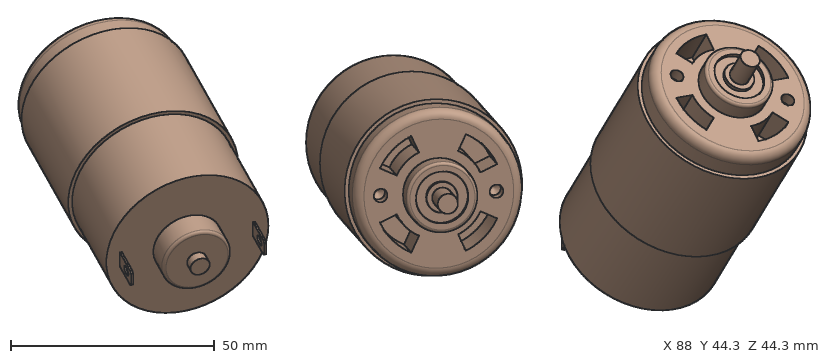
import cadquery as cq
import math


shaft_length = 88.0
shaft_diameter = 5.0
shaft_radius = shaft_diameter / 2
shaft_front = -shaft_length / 2

shaft_to_can = 12.8
can_front = shaft_front + shaft_to_can
can_length = 66.0
can_rear = can_front + can_length
can_radius = 21.1
can_front_fillet = 2.5

can_to_ring = 7.1
ring_front = can_front + can_to_ring
ring_length = 34.0
ring_diameter = 44.3
ring_radius = ring_diameter / 2

boss_radius = 8.9
boss_fillet = 0.8
front_boss_length = 5.0
rear_boss_length = 6.8
boss_front = can_front - front_boss_length

recess_radius = 6.5
recess_depth = 1.0
bushing_radius = 3.9

vent_inner_radius = 11.5
vent_outer_radius = 16.1
vent_span = 40.0
vent_centre_angles = (45, 135, 225, 315)
vent_depth = 10.0

mount_radius = 1.7
mount_offset = 14.4
mount_depth = 3.5
drill_point_angle = 118.0

tab_length = 8.2
tab_width = 4.5
tab_thickness = 0.5
tab_offset = 17.3
tab_corner_chamfer = 0.5
tab_slot_distance = 4.7
tab_slot_length = 3.0
tab_slot_width = 1.85


def disc(start, length, radius):
    """Cylinder on the motor axis that begins at X = start and runs toward +X."""
    return cq.Workplane("YZ", origin=(start, 0, 0)).circle(radius).extrude(length)


def vent(centre_angle):
    """Cutter for one ring-sector window, centred on the given angle."""
    half_span = vent_span / 2

    def point(radius, turn):
        angle = math.radians(centre_angle + turn)
        return radius * math.cos(angle), radius * math.sin(angle)

    return (
        cq.Workplane("YZ", origin=(can_front, 0, 0))
        .moveTo(*point(vent_inner_radius, -half_span))
        .lineTo(*point(vent_outer_radius, -half_span))
        .threePointArc(point(vent_outer_radius, 0), point(vent_outer_radius, half_span))
        .lineTo(*point(vent_inner_radius, half_span))
        .threePointArc(point(vent_inner_radius, 0), point(vent_inner_radius, -half_span))
        .close()
        .extrude(vent_depth)
    )


def mount_hole(y):
    """Cutter for a blind hole with a conical bottom."""
    point_length = mount_radius / math.tan(math.radians(drill_point_angle / 2))
    return (
        cq.Workplane("XY", origin=(can_front, y, 0))
        .lineTo(0, mount_radius)
        .lineTo(mount_depth, mount_radius)
        .lineTo(mount_depth + point_length, 0)
        .close()
        .revolve(360, (0, 0, 0), (1, 0, 0))
    )


def terminal_tab(y):
    """Flat tab with clipped outer corners and a lengthwise slot."""
    tab = (
        cq.Workplane("XY", origin=(can_rear, y, 0))
        .box(tab_length, tab_thickness, tab_width, centered=(False, True, True))
        .edges("|Y and >X")
        .chamfer(tab_corner_chamfer)
    )
    slot = (
        cq.Workplane("XZ", origin=(can_rear + tab_slot_distance, y, 0))
        .slot2D(tab_slot_length, tab_slot_width)
        .extrude(tab_thickness, both=True)
    )
    return tab.cut(slot)


can = disc(can_front, can_length, can_radius).faces("<X").edges().fillet(can_front_fillet)
ring = disc(ring_front, ring_length, ring_radius)

front_boss = disc(boss_front, front_boss_length, boss_radius).faces("<X").edges().fillet(boss_fillet)
recess = disc(boss_front, recess_depth, recess_radius)
bushing = disc(boss_front, front_boss_length, bushing_radius)
rear_boss = disc(can_rear, rear_boss_length, boss_radius).faces(">X").edges().fillet(boss_fillet)

shaft = disc(shaft_front, shaft_length, shaft_radius)

result = can.union(ring).union(front_boss.cut(recess)).union(bushing).union(rear_boss).union(shaft)

for angle in vent_centre_angles:
    result = result.cut(vent(angle))

for side in (-1, 1):
    result = result.cut(mount_hole(side * mount_offset))
    result = result.union(terminal_tab(side * tab_offset))